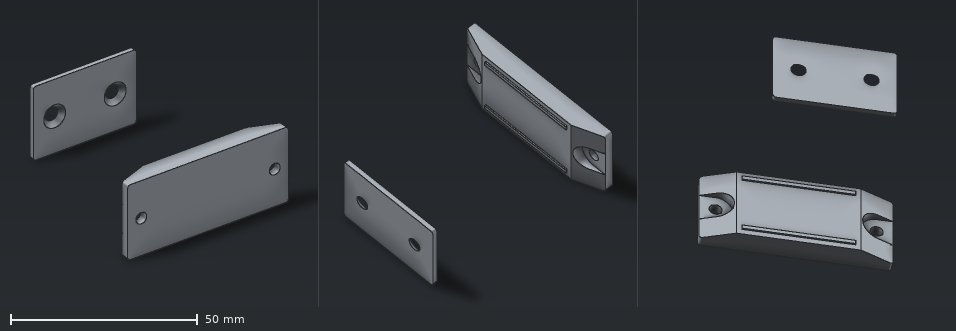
import cadquery as cq

overall_depth = 58.3
corner_radius = 1.0

housing_length = 53.0
housing_height = 23.5
housing_depth = 6.3
end_thickness = 2.7
flat_length = 34.0
housing_back = overall_depth
housing_face = housing_back - housing_depth
end_face = housing_back - end_thickness

screw_offset = 22.0
screw_diameter = 3.5
pocket_width = 9.0

rail_length = 31.0
rail_width = 1.2
rail_depth = 0.45
rail_offset = 9.4

plate_thickness = 1.6
plate_length = flat_length
plate_height = 23.15
plate_hole_offset = 9.95
plate_hole_front_diameter = 4.0
plate_hole_back_diameter = plate_hole_front_diameter + 2 * plate_thickness


def box_between(x_start, x_end, length, height):
    """Box between two X positions, centred on Y = 0 and Z = 0."""
    return (
        cq.Workplane("XY")
        .box(x_end - x_start, length, height)
        .translate(((x_start + x_end) / 2, 0, 0))
    )


def cylinder_along_x(x_start, x_end, y, diameter):
    """Cylinder parallel to X, centred at the given Y and at Z = 0."""
    return (
        cq.Workplane("YZ", origin=(x_start, 0, 0))
        .center(y, 0)
        .circle(diameter / 2)
        .extrude(x_end - x_start)
    )


def make_screw_pocket(side):
    """Round-ended pocket open at the housing end, with its through hole; side is +1 or -1."""
    screw_y = side * screw_offset
    run_out = housing_length / 2 - screw_offset
    round_end = cylinder_along_x(housing_face, end_face, screw_y, pocket_width)
    open_end = box_between(housing_face, end_face, run_out, pocket_width)
    open_end = open_end.translate((0, side * (screw_offset + run_out / 2), 0))
    through_hole = cylinder_along_x(housing_face, housing_back, screw_y, screw_diameter)
    return round_end.union(open_end).union(through_hole)


def make_housing():
    """Block with sloping ends, rounded end corners and two screw pockets."""
    half_length = housing_length / 2
    half_flat = flat_length / 2
    body = (
        cq.Workplane("XY", origin=(0, 0, -housing_height / 2))
        .polyline([
            (housing_back, -half_length),
            (housing_back, half_length),
            (end_face, half_length),
            (housing_face, half_flat),
            (housing_face, -half_flat),
            (end_face, -half_length),
        ])
        .close()
        .extrude(housing_height)
    )
    rounded_block = box_between(housing_face, housing_back, housing_length, housing_height)
    body = body.intersect(rounded_block.edges("|X").fillet(corner_radius))
    for side in (-1, 1):
        body = body.cut(make_screw_pocket(side))
    return body


def make_rail(side):
    """Straight rail lying on the housing face, above (+1) or below (-1) the middle."""
    rail = box_between(housing_face - rail_depth, housing_face, rail_length, rail_width)
    return rail.translate((0, 0, side * rail_offset))


def make_countersink(y):
    """Cone that widens from the front of the plate to its back."""
    return (
        cq.Workplane("YZ")
        .center(y, 0)
        .circle(plate_hole_front_diameter / 2)
        .workplane(offset=plate_thickness)
        .circle(plate_hole_back_diameter / 2)
        .loft()
    )


def make_plate():
    """Flat plate with rounded corners and two countersunk through holes."""
    plate = box_between(0, plate_thickness, plate_length, plate_height)
    plate = plate.edges("|X").fillet(corner_radius)
    for side in (-1, 1):
        plate = plate.cut(make_countersink(side * plate_hole_offset))
    return plate


housing = make_housing()
plate = make_plate()
rails = [make_rail(side) for side in (-1, 1)]

result = cq.Compound.makeCompound([
    housing.val(),
    plate.val(),
    *[rail.val() for rail in rails],
])